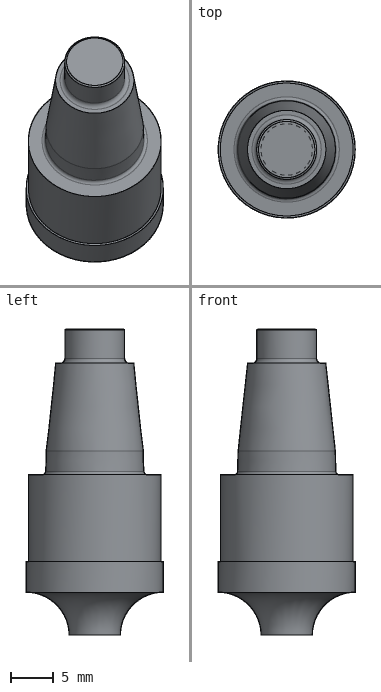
import cadquery as cq
import math

flange_radius = 16.0 / 2
flare_radius = 5.0
tip_radius = flange_radius - flare_radius
flange_height = 3.57
flange_top = flare_radius + flange_height

body_radius = 15.5 / 2
body_top = 18.7
base_fillet = 0.4
taper_base_radius = 5.75
taper_bend_radius = 5.68
taper_bend_z = 21.5
taper_top_radius = 4.57
taper_top_z = 31.7
boss_radius = 7.0 / 2
boss_fillet = 0.55
overall_height = 35.7
chamfer_width = 0.2
chamfer_height = 0.1

ARC_MID = math.sin(math.pi / 4)


def revolve_profile(profile):
    """Revolve a closed XZ profile a full turn about the Z axis."""
    return profile.close().revolve(360, (0, 0, 0), (0, 1, 0))


def fillet_up(profile, radius, floor_z, size):
    """Draw a concave quarter arc from a flat shoulder up to a wall of the given radius."""
    mid_offset = size * (1 - ARC_MID)
    return (
        profile.lineTo(radius + size, floor_z)
        .threePointArc((radius + mid_offset, floor_z + mid_offset), (radius, floor_z + size))
    )


def make_flared_base():
    flare_mid = (flange_radius - flare_radius * ARC_MID, flare_radius * ARC_MID)
    profile = (
        cq.Workplane("XZ")
        .lineTo(tip_radius, 0)
        .threePointArc(flare_mid, (flange_radius, flare_radius))
        .lineTo(flange_radius, flange_top)
        .lineTo(0, flange_top)
    )
    return revolve_profile(profile)


def make_stepped_plug():
    profile = (
        cq.Workplane("XZ")
        .moveTo(0, flange_top)
        .lineTo(body_radius, flange_top)
        .lineTo(body_radius, body_top)
    )
    profile = fillet_up(profile, taper_base_radius, body_top, base_fillet)
    profile = (
        profile.lineTo(taper_bend_radius, taper_bend_z)
        .lineTo(taper_top_radius, taper_top_z)
    )
    profile = fillet_up(profile, boss_radius, taper_top_z, boss_fillet)
    profile = (
        profile.lineTo(boss_radius, overall_height - chamfer_height)
        .lineTo(boss_radius - chamfer_width, overall_height)
        .lineTo(0, overall_height)
    )
    return revolve_profile(profile)


flared_base = make_flared_base()
stepped_plug = make_stepped_plug()

result = cq.Compound.makeCompound([flared_base.val(), stepped_plug.val()])